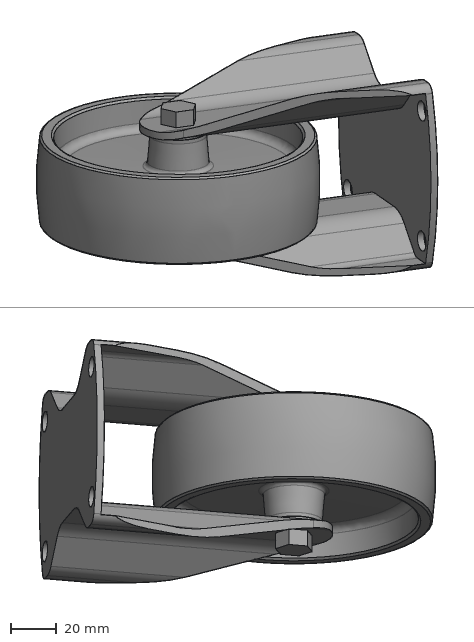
import cadquery as cq
import math


wheel_radius = 62.3
total_length = 164.8
plate_back_y = total_length - wheel_radius
total_height = 85.0
half_height = total_height / 2
sheet = 3.3

plate_half_width = 50.0
tab_half_width = 43.0
tab_corner_radius = 5.0
hole_diameter = 9.0
hole_x = 39.9
hole_z = 30.0

leg_inner_z = 22.9
leg_outer_z = leg_inner_z + sheet
lower_bend_x = 15.0
upper_bend_x = 32.0
lower_bend_radius = 12.5
upper_bend_radius = 8.5
leg_tip_radius = 17.0
leg_root_half_width = 44.0
leg_straight_length = 9.9

wheel_half_width = 20.1
tread_edge_radius = 60.8
tread_edge_chamfer = 0.8
rim_inner_radius = 54.7
rim_floor_radius = 54.0
rim_floor_fillet = 3.8
web_hub_half_thickness = 6.1
web_rim_half_thickness = 5.1
rim_mouth_chamfer = 1.0
hub_base_radius = 13.7
hub_rim_radius = 12.5
hub_half_length = 21.8
spacer_radius = 12.0
hub_base_fillet = 2.0

hex_corner_diameter = 16.6
hex_end_z = 33.5


def prism_along_y(outline, y_start, y_end):
    """Extrude an XZ outline from y_start up to y_end."""
    return outline.extrude(-(y_end - y_start)).translate((0, y_start, 0))


def plate_prism(y_start, y_end):
    """Bow-sided plate outline with rounded tab corners."""
    outline = (
        cq.Workplane("XZ")
        .moveTo(-tab_half_width, half_height)
        .lineTo(tab_half_width, half_height)
        .threePointArc((plate_half_width, 0), (tab_half_width, -half_height))
        .lineTo(-tab_half_width, -half_height)
        .threePointArc((-plate_half_width, 0), (-tab_half_width, half_height))
        .close()
    )
    return prism_along_y(outline, y_start, y_end).edges("|Y").fillet(tab_corner_radius)


def fork_envelope(y_start, y_end, inset):
    """Solid bounded by the bent leg faces, moved inward by inset."""
    side_x = plate_half_width + sheet
    bend_angle = math.atan2(half_height - leg_outer_z, upper_bend_x - lower_bend_x)
    bend_shift = inset * math.tan(bend_angle / 2)
    low_x = lower_bend_x + bend_shift
    high_x = upper_bend_x + bend_shift
    low_z = leg_outer_z - inset
    high_z = half_height - inset
    top = [(-side_x, high_z), (-high_x, high_z), (-low_x, low_z)]
    top += [(-x, z) for x, z in reversed(top)]
    bottom = [(x, -z) for x, z in reversed(top)]
    envelope = prism_along_y(cq.Workplane("XZ").polyline(top + bottom).close(), y_start, y_end)

    def bend_edges(x, z):
        corners = [(x, z), (-x, z), (x, -z), (-x, -z)]
        middle_y = (y_start + y_end) / 2
        edges = [envelope.edges(cq.NearestToPointSelector((cx, middle_y, cz))).val() for cx, cz in corners]
        return envelope.newObject(edges)

    envelope = bend_edges(low_x, low_z).fillet(lower_bend_radius + inset)
    return bend_edges(high_x, high_z).fillet(upper_bend_radius - inset)


def leg_outline():
    """Leg as seen along the axle: straight root, tangent taper, round tip."""
    root_y = plate_back_y - leg_straight_length
    root_distance = math.hypot(leg_root_half_width, root_y)
    taper = math.atan2(leg_root_half_width, root_y) - math.asin(leg_tip_radius / root_distance)
    tangent_x = leg_tip_radius * math.cos(taper)
    tangent_y = -leg_tip_radius * math.sin(taper)
    return (
        cq.Workplane("XY")
        .moveTo(-leg_root_half_width, plate_back_y)
        .lineTo(-leg_root_half_width, root_y)
        .lineTo(-tangent_x, tangent_y)
        .threePointArc((0, -leg_tip_radius), (tangent_x, tangent_y))
        .lineTo(leg_root_half_width, root_y)
        .lineTo(leg_root_half_width, plate_back_y)
        .close()
        .extrude(half_height, both=True)
    )


def make_bracket():
    plate_front_y = plate_back_y - sheet
    plate = plate_prism(plate_front_y, plate_back_y)
    plate = plate.intersect(fork_envelope(plate_front_y, plate_back_y, 0))
    holes = (
        cq.Workplane("XZ", origin=(0, plate_front_y, 0))
        .rect(2 * hole_x, 2 * hole_z, forConstruction=True)
        .vertices()
        .circle(hole_diameter / 2)
        .extrude(-sheet)
    )

    tip_y = -leg_tip_radius
    legs = fork_envelope(tip_y, plate_back_y, 0).cut(fork_envelope(tip_y, plate_back_y, sheet))
    legs = legs.intersect(plate_prism(tip_y, plate_back_y)).intersect(leg_outline())
    return plate.union(legs).cut(holes)


def make_wheel():
    """Crowned tread with a recessed, slightly conical web on both sides and a central hub."""
    wheel = (
        cq.Workplane("XZ")
        .moveTo(0, -wheel_half_width)
        .lineTo(tread_edge_radius, -wheel_half_width)
        .threePointArc((wheel_radius, 0), (tread_edge_radius, wheel_half_width))
        .lineTo(0, wheel_half_width)
        .close()
        .revolve(360, (0, 0, 0), (0, 1, 0))
        .faces("|Z")
        .edges()
        .chamfer(tread_edge_chamfer)
    )
    recess = (
        cq.Workplane("XZ")
        .polyline(
            [
                (hub_base_radius, web_hub_half_thickness),
                (rim_floor_radius, web_rim_half_thickness),
                (rim_inner_radius, wheel_half_width - rim_mouth_chamfer),
                (rim_inner_radius + rim_mouth_chamfer, wheel_half_width),
                (hub_rim_radius, wheel_half_width),
            ]
        )
        .close()
        .revolve(360, (0, 0, 0), (0, 1, 0))
    )
    hub_base_rank = 1
    recess = recess.edges("<Z").fillet(rim_floor_fillet)
    recess = recess.edges(cq.selectors.RadiusNthSelector(hub_base_rank)).fillet(hub_base_fillet)
    hub = (
        cq.Workplane("XY")
        .circle(hub_rim_radius)
        .extrude(hub_half_length, both=True)
        .union(cq.Workplane("XY").circle(spacer_radius).extrude(leg_inner_z, both=True))
    )
    return wheel.cut(recess).cut(recess.mirror("XY")).union(hub)


def make_axle():
    return (
        cq.Workplane("XY")
        .polygon(6, hex_corner_diameter)
        .extrude(hex_end_z, both=True)
        .rotate((0, 0, 0), (0, 0, 1), 90)
    )


result = make_bracket().union(make_wheel()).union(make_axle())